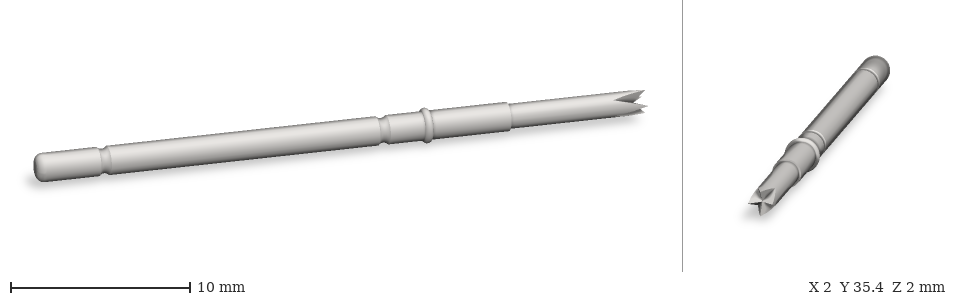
import cadquery as cq
import math

total_length = 35.4

plunger_diameter = 1.4
plunger_length = 8.0
point_count = 4
crown_apex_depth = 0.7
crown_valley_depth = 2.0

barrel_diameter = 1.65
end_fillet = 0.43

ring_diameter = 2.0
ring_bead_radius = 0.25
ring_distance = 12.75

groove_width = 0.6
groove_depth = 0.135
groove_distances = (15.3, 31.5)

tip_y = total_length / 2
tail_y = -total_length / 2
barrel_front_y = tip_y - plunger_length
plunger_radius = plunger_diameter / 2
barrel_radius = barrel_diameter / 2


def cylinder_along_y(radius, start_y, end_y):
    """Round bar on the Y axis between two Y positions."""
    return cq.Workplane("XZ", origin=(0, end_y, 0)).circle(radius).extrude(end_y - start_y)


def revolve_about_y(profile):
    """Turn a closed XY profile around the Y axis."""
    return profile.close().revolve(360, (0, 0, 0), (0, 1, 0))


def make_barrel():
    bar = cylinder_along_y(barrel_radius, tail_y, barrel_front_y)
    return bar.faces("<Y").edges().fillet(end_fillet)


def make_ring():
    """Bead whose round outside reaches the ring diameter."""
    ring_y = tip_y - ring_distance
    outer_radius = ring_diameter / 2
    centre_radius = outer_radius - ring_bead_radius
    profile = (
        cq.Workplane("XY")
        .moveTo(0, ring_y - ring_bead_radius)
        .lineTo(centre_radius, ring_y - ring_bead_radius)
        .threePointArc((outer_radius, ring_y), (centre_radius, ring_y + ring_bead_radius))
        .lineTo(0, ring_y + ring_bead_radius)
    )
    return revolve_about_y(profile)


def make_groove(distance):
    """Cutter for one arc-shaped groove."""
    groove_y = tip_y - distance
    profile = (
        cq.Workplane("XY")
        .moveTo(barrel_radius, groove_y - groove_width / 2)
        .threePointArc(
            (barrel_radius - groove_depth, groove_y),
            (barrel_radius, groove_y + groove_width / 2),
        )
    )
    return revolve_about_y(profile)


def crown_point(radius, angle, depth):
    """Position at a radius and angle around the axis, at a depth below the tip plane."""
    return cq.Vector(radius * math.cos(angle), tip_y - depth, radius * math.sin(angle))


def solid_from_corners(faces):
    """Solid bounded by flat faces, each given by its corners."""
    walls = [cq.Face.makeFromWires(cq.Wire.makePolygon(corners, close=True)) for corners in faces]
    return cq.Solid.makeSolid(cq.Shell.makeShell(walls))


def make_crown_wedge(ridge_angle, valley_angle):
    """Cutter above one flat crown facet, from a point's ridge to the next valley."""
    overshoot = 2
    valley_drop = crown_valley_depth - crown_apex_depth
    reach = plunger_radius * overshoot
    ceiling_depth = crown_apex_depth - crown_apex_depth * overshoot
    apex = crown_point(0, 0, crown_apex_depth)
    ridge = crown_point(reach, ridge_angle, ceiling_depth)
    valley = crown_point(reach, valley_angle, crown_apex_depth + valley_drop * overshoot)
    apex_top = crown_point(0, 0, ceiling_depth)
    valley_top = crown_point(reach, valley_angle, ceiling_depth)
    return solid_from_corners([
        [apex, ridge, valley],
        [apex, apex_top, ridge],
        [apex, valley, valley_top, apex_top],
        [ridge, valley_top, valley],
        [apex_top, valley_top, ridge],
    ])


def make_plunger():
    plunger = cylinder_along_y(plunger_radius, barrel_front_y, tip_y)
    point_spacing = 2 * math.pi / point_count
    for index in range(point_count):
        ridge_angle = index * point_spacing
        for side in (-1, 1):
            valley_angle = ridge_angle + side * point_spacing / 2
            plunger = plunger.cut(cq.Workplane(make_crown_wedge(ridge_angle, valley_angle)))
    return plunger


result = make_barrel().union(make_ring())
for groove_distance in groove_distances:
    result = result.cut(make_groove(groove_distance))
result = result.union(make_plunger())